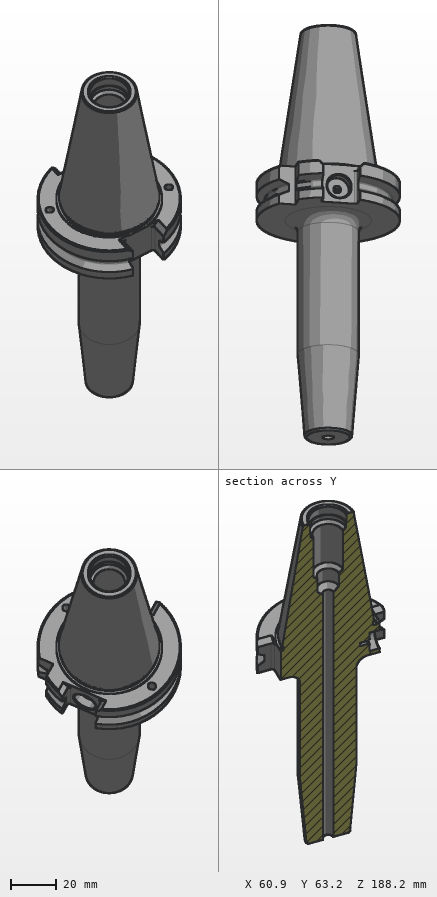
import cadquery as cq
import math

total_height = 188.2

nose_height = 38.5
nose_tip_radius = 10.5
nose_tip_chamfer = 1.0
shank_radius = 13.5
flange_fillet = 5.5

flange_radius = 31.6
flange_bottom = 101.0
flange_top = 118.8
flange_chamfer = 0.5
groove_center = 108.8
groove_floor_radius = 28.2
groove_floor_width = 3.2
groove_flank_angle = 30.0
groove_corner_radius = 0.5

gauge_height = 120.1
gauge_radius = 22.2
taper_slope = 7 / 48
taper_length = total_height - gauge_height
taper_end_radius = gauge_radius - taper_length * taper_slope
taper_end_chamfer = 0.5

neck_radius = 21.6
relief_ring_radius = 23.3
relief_ring_depth = 0.5

mouth_radius = 9.5
locating_radius = 8.7
locating_depth = 5.3
relief_radius = 8.5
relief_depth = 8.0
thread_radius = 7.0
thread_depth = 32.0
lower_radius = 5.0
lower_depth = 41.5
through_radius = 2.5

slot_half_width = 8.1
slot_floor_minus_x = 24.7
slot_floor_plus_x = 22.8
slot_corner_radius = 1.1
slot_top_chamfer = 2.5
slot_mouth_chamfer = 0.4

notch_offset = 18.5

chip_radius = 5.3
chip_depth = 4.7
chip_chamfer = 0.4
chip_hole_radius = 0.8
chip_hole_depth = 9.5
chip_countersink_radius = 1.7

coolant_radius = 1.7
coolant_circle_radius = 27.1
coolant_angles = (70.0, 250.0)
coolant_tilt = 20.0
coolant_depth = 15.0

overshoot = 3.8


def make_body():
    fillet_mid = flange_fillet * (1 - math.sqrt(0.5))
    profile = (
        cq.Workplane("XZ")
        .lineTo(nose_tip_radius - nose_tip_chamfer, 0)
        .lineTo(nose_tip_radius, nose_tip_chamfer)
        .lineTo(shank_radius, nose_height)
        .lineTo(shank_radius, flange_bottom - flange_fillet)
        .threePointArc(
            (shank_radius + fillet_mid, flange_bottom - fillet_mid),
            (shank_radius + flange_fillet, flange_bottom),
        )
        .lineTo(flange_radius, flange_bottom)
        .lineTo(flange_radius, flange_top - flange_chamfer)
        .lineTo(flange_radius - flange_chamfer, flange_top)
        .lineTo(relief_ring_radius, flange_top)
        .lineTo(relief_ring_radius, flange_top - relief_ring_depth)
        .lineTo(neck_radius, flange_top - relief_ring_depth)
        .lineTo(neck_radius, gauge_height)
        .lineTo(gauge_radius, gauge_height)
        .lineTo(taper_end_radius, total_height - taper_end_chamfer)
        .lineTo(taper_end_radius - taper_end_chamfer, total_height)
        .lineTo(0, total_height)
        .close()
    )
    return profile.revolve(360, (0, 0, 0), (0, 1, 0))


def make_groove():
    floor_half = groove_floor_width / 2
    outer_radius = flange_radius + overshoot
    flank_rise = (outer_radius - groove_floor_radius) * math.tan(math.radians(groove_flank_angle))
    outer_half = floor_half + flank_rise
    ring = (
        cq.Workplane("XZ")
        .moveTo(groove_floor_radius, groove_center - floor_half)
        .lineTo(outer_radius, groove_center - outer_half)
        .lineTo(outer_radius, groove_center + outer_half)
        .lineTo(groove_floor_radius, groove_center + floor_half)
        .close()
        .revolve(360, (0, 0, 0), (0, 1, 0))
    )
    floor_edges = cq.selectors.RadiusNthSelector(0)
    return ring.edges("%CIRCLE").edges(floor_edges).fillet(groove_corner_radius)


def make_bore():
    steps = (
        (locating_radius, locating_depth),
        (relief_radius, relief_depth),
        (thread_radius, thread_depth),
        (lower_radius, lower_depth),
        (through_radius, total_height),
    )
    points = [(0, total_height), (mouth_radius, total_height)]
    last_radius = mouth_radius
    last_depth = 0.0
    for radius, end_depth in steps:
        start_depth = last_depth + last_radius - radius
        points.append((radius, total_height - start_depth))
        points.append((radius, total_height - end_depth))
        last_radius = radius
        last_depth = end_depth
    points.append((0, 0))
    return cq.Workplane("XZ").polyline(points).close().revolve(360, (0, 0, 0), (0, 1, 0))


def make_slot(floor_x):
    height = flange_top - flange_bottom
    outer_x = flange_radius + overshoot
    length = outer_x - floor_x
    slot = (
        cq.Workplane("XY", origin=(floor_x + length / 2, 0, flange_bottom))
        .rect(length, 2 * slot_half_width)
        .extrude(height)
        .edges("|Z and <X")
        .fillet(slot_corner_radius)
    )
    top_half_width = slot_half_width + slot_top_chamfer
    top_chamfer = (
        cq.Workplane("YZ", origin=(floor_x, 0, 0))
        .moveTo(-slot_half_width, flange_top - slot_top_chamfer)
        .lineTo(slot_half_width, flange_top - slot_top_chamfer)
        .lineTo(top_half_width, flange_top)
        .lineTo(-top_half_width, flange_top)
        .close()
        .extrude(length)
    )
    mouth_x = math.sqrt(flange_radius**2 - slot_half_width**2) - slot_mouth_chamfer
    mouth_half_width = slot_half_width + outer_x - mouth_x
    mouth_chamfer = (
        cq.Workplane("XY", origin=(0, 0, flange_bottom))
        .moveTo(mouth_x, -slot_half_width)
        .lineTo(outer_x, -mouth_half_width)
        .lineTo(outer_x, mouth_half_width)
        .lineTo(mouth_x, slot_half_width)
        .close()
        .extrude(height)
    )
    return slot.union(top_chamfer).union(mouth_chamfer)


def make_notch():
    return cq.Workplane("XY").box(
        flange_radius,
        flange_radius,
        flange_top - flange_bottom,
        centered=False,
    ).translate((-notch_offset - flange_radius, notch_offset, flange_bottom))


def make_chip_pocket():
    pocket_floor = -slot_floor_minus_x + chip_depth
    countersink_depth = chip_countersink_radius - chip_hole_radius
    return (
        cq.Workplane("XY", origin=(0, 0, groove_center))
        .moveTo(-slot_floor_minus_x, 0)
        .lineTo(-slot_floor_minus_x, chip_radius + chip_chamfer)
        .lineTo(-slot_floor_minus_x + chip_chamfer, chip_radius)
        .lineTo(pocket_floor, chip_radius)
        .lineTo(pocket_floor, chip_countersink_radius)
        .lineTo(pocket_floor + countersink_depth, chip_hole_radius)
        .lineTo(-slot_floor_minus_x + chip_hole_depth, chip_hole_radius)
        .lineTo(-slot_floor_minus_x + chip_hole_depth, 0)
        .close()
        .revolve(360, (0, 0, 0), (1, 0, 0))
    )


def make_coolant_hole(angle):
    tilt = math.radians(coolant_tilt)
    lean = cq.Vector(-math.sin(tilt), 0, -math.cos(tilt))
    start = cq.Vector(coolant_circle_radius, 0, flange_top) - lean * overshoot
    hole = cq.Solid.makeCylinder(coolant_radius, coolant_depth + overshoot, start, lean)
    return cq.Workplane(hole).rotate((0, 0, 0), (0, 0, 1), angle)


result = make_body().cut(make_groove()).cut(make_bore())
result = result.cut(make_slot(slot_floor_plus_x))
result = result.cut(make_slot(slot_floor_minus_x).rotate((0, 0, 0), (0, 0, 1), 180))
result = result.cut(make_notch())
result = result.cut(make_chip_pocket())
for coolant_angle in coolant_angles:
    result = result.cut(make_coolant_hole(coolant_angle))